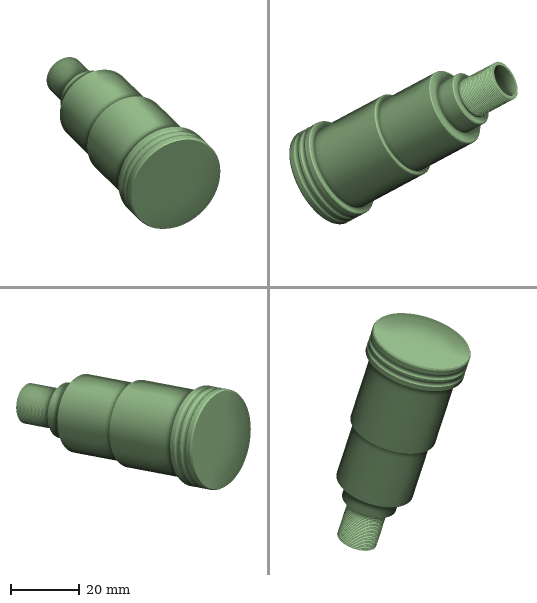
import cadquery as cq
import math

total_length = 70.1

thread_radius = 6.0
thread_pitch = 0.5
thread_flank_angle = 30.0
thread_depth = 0.3
thread_turns = 26
crest_clearance = 0.035
bore_radius = 5.0

neck_start = 12.9
neck_radius = 8.3
middle_start = 18.9
middle_radius = 11.7
body_start = 38.7
body_radius = 13.05
flange_start = 62.1
flange_radius = 15.0

edge_chamfer = 0.3
rear_chamfer_length = 0.5

groove_width = 1.75
groove_depth = 0.4
groove_centers = (64.8, 67.2)


def make_step(start, end, radius):
    """Cylinder along X with a chamfered front edge."""
    step = cq.Workplane("YZ").workplane(offset=start).circle(radius).extrude(end - start)
    return step.faces("<X").chamfer(edge_chamfer)


def make_flange():
    """End flange with chamfered rims and two shallow round-bottomed grooves."""
    profile = (
        cq.Workplane("XY")
        .moveTo(flange_start, 0)
        .lineTo(flange_start, flange_radius - edge_chamfer)
        .lineTo(flange_start + edge_chamfer, flange_radius)
    )
    for center in groove_centers:
        profile = profile.lineTo(center - groove_width / 2, flange_radius).threePointArc(
            (center, flange_radius - groove_depth),
            (center + groove_width / 2, flange_radius),
        )
    profile = (
        profile.lineTo(total_length - rear_chamfer_length, flange_radius)
        .lineTo(total_length, flange_radius - edge_chamfer)
        .lineTo(total_length, 0)
        .close()
    )
    return profile.revolve(360, (0, 0, 0), (1, 0, 0))


def make_thread_cutter():
    """V-shaped helical groove, starting one pitch ahead of the open end."""
    root_radius = thread_radius - thread_depth
    outer_radius = thread_radius + crest_clearance
    half_width = (outer_radius - root_radius) * math.tan(math.radians(thread_flank_angle))
    helix = cq.Wire.makeHelix(thread_pitch, thread_turns * thread_pitch, thread_radius)
    cutter = (
        cq.Workplane("XZ")
        .polyline([(root_radius, 0), (outer_radius, half_width), (outer_radius, -half_width)])
        .close()
        .sweep(cq.Workplane(helix), isFrenet=True)
    )
    return (
        cutter.rotate((0, 0, 0), (0, 1, 0), 90)
        .rotate((0, 0, 0), (1, 0, 0), -90)
        .translate((-thread_pitch, 0, 0))
    )


def make_threaded_tube():
    """Externally threaded tube, open at the front."""
    tube = cq.Workplane("YZ").circle(thread_radius).circle(bore_radius).extrude(neck_start)
    return tube.cut(make_thread_cutter())


result = (
    make_step(neck_start, middle_start, neck_radius)
    .union(make_step(middle_start, body_start, middle_radius))
    .union(make_step(body_start, flange_start, body_radius))
    .union(make_flange())
    .union(make_threaded_tube())
)